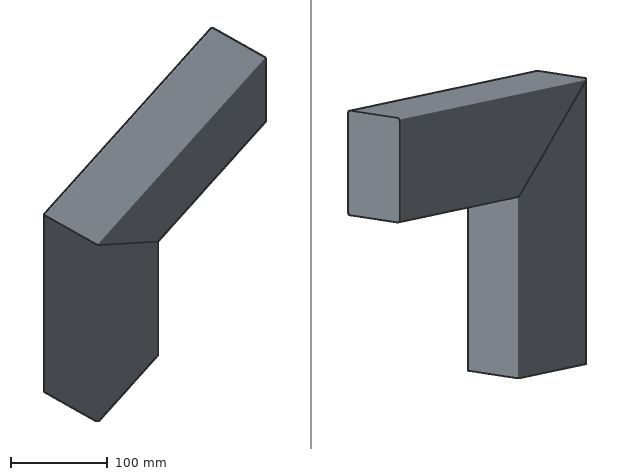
import cadquery as cq

leg_length = 300.0
bar_width = 70.0
bar_depth = 110.0
edge_radius = 3.0



def mitred_bar(outline, long_edges):
    """Solid bar, centred on X, with a mitred end and rounded long edges."""
    bar = cq.Workplane("YZ").polyline(outline).close().extrude(bar_width / 2, both=True)
    return bar.edges(long_edges).fillet(edge_radius)


horizontal_outline = [
    (0, 0),
    (leg_length, 0),
    (leg_length, -bar_depth),
    (bar_depth, -bar_depth),
]
horizontal_leg = mitred_bar(horizontal_outline, "|Y")

vertical_outline = [
    (0, 0),
    (bar_depth, -bar_depth),
    (bar_depth, -leg_length),
    (0, -leg_length),
]
vertical_leg = mitred_bar(vertical_outline, "|Z")

result = cq.Compound.makeCompound([horizontal_leg.val(), vertical_leg.val()])